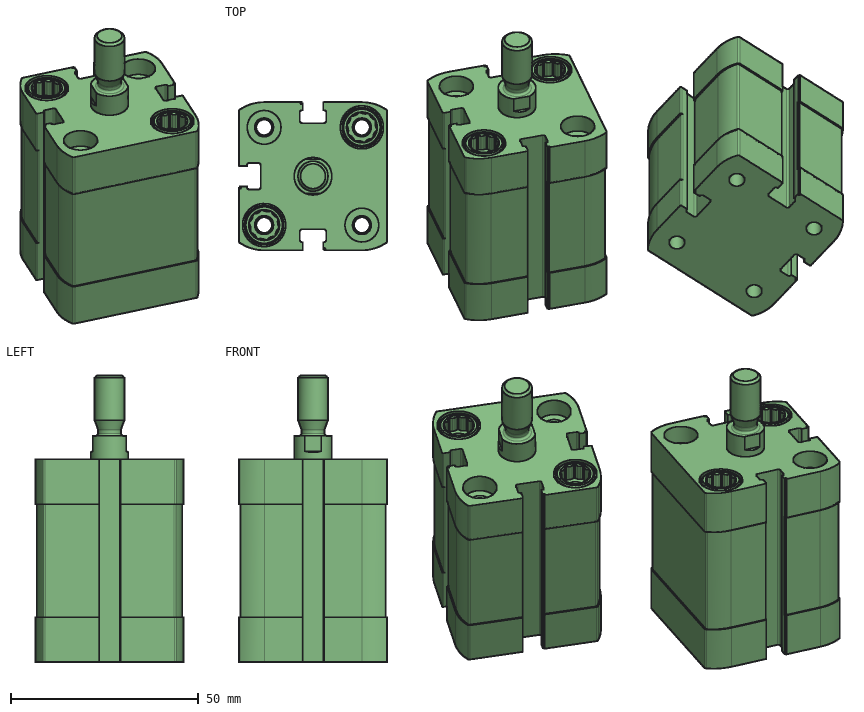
import cadquery as cq
import math

cap_width = 39.5
barrel_width = 38.8
housing_height = 54.0
cap_height = 12.0

bolt_offset = 13.0
crown_radius = 11.5
corner_blend_radius = 0.7

slot_mouth_width = 5.4
slot_edge_radius = 0.3
slot_chamber_width = 7.0
slot_corner_radius = 0.6
slot_lip = 2.2
end_slot_depth = 5.6
side_slot_depth = 5.8

thread_core_diameter = 4.13
thread_diameter = 5.0
recess_depth = 5.0
counterbore_diameter = 9.0

gap_outer_diameter = 11.5
gap_depth = 1.0
screw_head_diameter = 10.5
screw_head_chamfer = 0.4

socket_root_diameter = 8.2
socket_tip_diameter = 7.3
tooth_count = 10
first_tooth_angle = 45.0
tooth_base_width = 2.15
tooth_tip_width = 0.75
tooth_crown = 0.2

rod_diameter = 10.0
shoulder_height = 6.2
flat_distance = 9.0
flat_bottom = 2.15
flat_runout = 0.35
neck_diameter = 6.2
neck_fillet_radius = 0.65
taper_start = 7.88
taper_end = 10.4
thread_major_diameter = 8.0
tip_height = 22.3
tip_chamfer = 0.7


def polar_point(center, radius, angle):
    return (center[0] + radius * math.cos(angle), center[1] + radius * math.sin(angle))


def cylinder(diameter, bottom, top):
    return cq.Workplane("XY").workplane(offset=bottom).circle(diameter / 2).extrude(top - bottom)


def crowned_block(width, height):
    """Square block whose four corners are rounded by a crown arc and a small tangent blend."""
    half = width / 2
    blend_x = half - corner_blend_radius
    run = blend_x - bolt_offset
    rise = math.sqrt((crown_radius - corner_blend_radius) ** 2 - run**2)
    crown_center = (bolt_offset, half - crown_radius)
    blend_center = (blend_x, crown_center[1] + rise)
    joint_angle = math.atan2(rise, run)
    crown_middle_angle = (joint_angle + math.pi / 2) / 2
    quarter = (
        cq.Workplane("XY")
        .lineTo(half, 0)
        .lineTo(half, blend_center[1])
        .threePointArc(
            polar_point(blend_center, corner_blend_radius, joint_angle / 2),
            polar_point(crown_center, crown_radius, joint_angle),
        )
        .threePointArc(polar_point(crown_center, crown_radius, crown_middle_angle), (bolt_offset, half))
        .lineTo(0, half)
        .close()
        .extrude(height)
    )
    half_block = quarter.union(quarter.mirror("YZ"))
    return half_block.union(half_block.mirror("XZ")).clean()


def sensor_slot(width, height, depth, angle):
    """Slot cutter for the +Y side of a block of this width, turned about Z to the wanted side."""
    outer = width / 2
    lip_bottom = cap_width / 2 - slot_lip
    floor = cap_width / 2 - depth
    half_mouth = slot_mouth_width / 2
    edge_x = half_mouth + slot_edge_radius
    edge_y = outer - slot_edge_radius
    mouth = (
        cq.Workplane("XY")
        .moveTo(-half_mouth, lip_bottom)
        .lineTo(half_mouth, lip_bottom)
        .lineTo(half_mouth, edge_y)
        .tangentArcPoint((edge_x, outer), relative=False)
        .lineTo(-edge_x, outer)
        .tangentArcPoint((-half_mouth, edge_y), relative=False)
        .close()
        .extrude(height)
    )
    chamber = (
        cq.Workplane("XY")
        .center(0, (lip_bottom + floor) / 2)
        .rect(slot_chamber_width, lip_bottom - floor)
        .extrude(height)
        .edges("|Z")
        .fillet(slot_corner_radius)
    )
    return mouth.union(chamber).rotate((0, 0, 0), (0, 0, 1), angle)


def slotted_block(width, height):
    """Crowned block with slots on +Y, -X and -Y; the +X side stays plain."""
    block = crowned_block(width, height)
    for angle, depth in ((0, end_slot_depth), (90, side_slot_depth), (180, end_slot_depth)):
        block = block.cut(sensor_slot(width, height, depth, angle))
    return block


def threaded_hole():
    """Thread core from the base up to the recess floor, with a 45 degree countersink at its top."""
    floor = housing_height - recess_depth
    core_radius = thread_core_diameter / 2
    mouth_radius = thread_diameter / 2
    return (
        cq.Workplane("XZ")
        .lineTo(core_radius, 0)
        .lineTo(core_radius, floor - (mouth_radius - core_radius))
        .lineTo(mouth_radius, floor)
        .lineTo(0, floor)
        .close()
        .revolve(360, (0, 0), (0, 1))
    )


def screw_gap():
    """Ring-shaped gap around a screw head, including the chamfer on the head's outer rim."""
    gap_bottom = housing_height - gap_depth
    head = cylinder(screw_head_diameter, gap_bottom, housing_height).faces(">Z").chamfer(screw_head_chamfer)
    return cylinder(gap_outer_diameter, gap_bottom, housing_height).cut(head)


def screw_socket():
    """Splined socket: crowned teeth between narrow grooves, with a cone that chamfers the tooth tops."""
    floor = housing_height - recess_depth
    tip_radius = socket_tip_diameter / 2
    root_radius = socket_root_diameter / 2
    tooth = (
        cq.Workplane("XY")
        .workplane(offset=floor)
        .moveTo(root_radius, -tooth_base_width / 2)
        .lineTo(tip_radius + tooth_crown, -tooth_base_width / 2)
        .lineTo(tip_radius, -tooth_tip_width / 2)
        .lineTo(tip_radius, tooth_tip_width / 2)
        .lineTo(tip_radius + tooth_crown, tooth_base_width / 2)
        .lineTo(root_radius, tooth_base_width / 2)
        .close()
        .extrude(recess_depth)
    )
    socket = cylinder(socket_root_diameter, floor, housing_height)
    for index in range(tooth_count):
        angle = first_tooth_angle + index * 360 / tooth_count
        socket = socket.cut(tooth.rotate((0, 0, 0), (0, 0, 1), angle))
    chamfer = root_radius - tip_radius
    lead_in = cq.Solid.makeCone(tip_radius, root_radius, chamfer, pnt=(0, 0, housing_height - chamfer))
    return socket.union(cq.Workplane(lead_in))


def build_housing():
    cap = slotted_block(cap_width, cap_height)
    barrel = slotted_block(barrel_width, housing_height - 2 * cap_height)
    body = cap.union(barrel.translate((0, 0, cap_height)))
    body = body.union(cap.translate((0, 0, housing_height - cap_height)))

    hole = threaded_hole()
    counterbore = cylinder(counterbore_diameter, housing_height - recess_depth, housing_height)
    socket = screw_socket()
    gap = screw_gap()
    for x in (-bolt_offset, bolt_offset):
        plain_place = (x, -x, 0)
        screw_place = (x, x, 0)
        body = body.cut(hole.translate(plain_place)).cut(counterbore.translate(plain_place))
        body = body.cut(hole.translate(screw_place)).cut(socket.translate(screw_place))
        body = body.cut(gap.translate(screw_place))
    return body


def build_rod():
    """Turned rod standing on the housing top, with two wrench flats facing -Y and +Y."""
    rod_radius = rod_diameter / 2
    neck_radius = neck_diameter / 2
    thread_radius = thread_major_diameter / 2
    taper_angle = math.atan2(thread_radius - neck_radius, taper_end - taper_start)
    tangent = neck_fillet_radius * math.tan(taper_angle / 2)
    fillet_center = (neck_radius + neck_fillet_radius, shoulder_height + neck_fillet_radius)
    rod = (
        cq.Workplane("XZ")
        .lineTo(rod_radius, 0)
        .lineTo(rod_radius, shoulder_height)
        .lineTo(fillet_center[0], shoulder_height)
        .threePointArc(
            polar_point(fillet_center, neck_fillet_radius, math.radians(225)),
            (neck_radius, fillet_center[1]),
        )
        .lineTo(neck_radius, taper_start - tangent)
        .tangentArcPoint(
            (neck_radius + tangent * math.sin(taper_angle), taper_start + tangent * math.cos(taper_angle)),
            relative=False,
        )
        .lineTo(thread_radius, taper_end)
        .lineTo(thread_radius, tip_height - tip_chamfer)
        .lineTo(thread_radius - tip_chamfer, tip_height)
        .lineTo(0, tip_height)
        .close()
        .revolve(360, (0, 0), (0, 1))
    )
    flat = (
        cq.Workplane("YZ")
        .moveTo(flat_distance / 2, flat_bottom)
        .lineTo(flat_distance / 2, shoulder_height)
        .lineTo(rod_radius, shoulder_height)
        .lineTo(rod_radius, flat_bottom - flat_runout)
        .close()
        .extrude(rod_radius, both=True)
    )
    rod = rod.cut(flat).cut(flat.mirror("XZ"))
    return rod.translate((0, 0, housing_height))


housing = build_housing()
rod = build_rod()
result = cq.Compound.makeCompound([housing.val(), rod.val()])